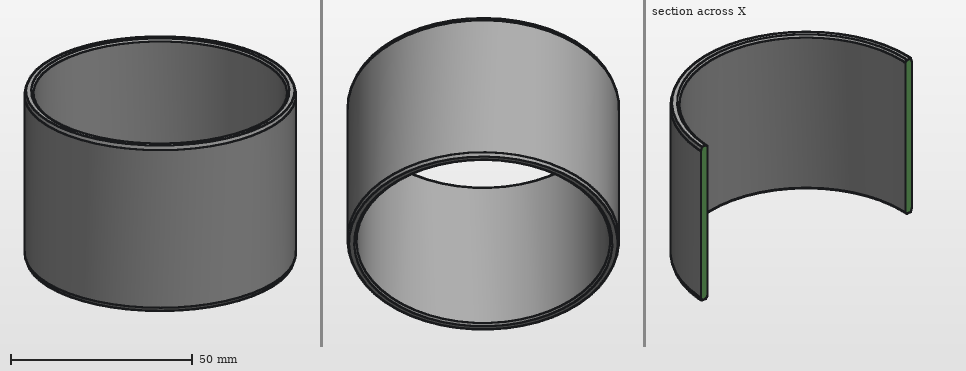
import cadquery as cq
import math

outer_diameter = 75.0
wall_thickness = 2.5
length = 50.0

outer_chamfer_length = 1.2
outer_chamfer_angle = 20.0
outer_chamfer_depth = outer_chamfer_length * math.tan(math.radians(outer_chamfer_angle))

inner_chamfer = 0.64

outer_radius = outer_diameter / 2
inner_radius = outer_radius - wall_thickness


def wall_section():
    """Wall profile in the XZ plane, with both ends chamfered inside and out."""
    end_face_inner = inner_radius + inner_chamfer
    end_face_outer = outer_radius - outer_chamfer_depth
    return (
        cq.Workplane("XZ")
        .moveTo(end_face_inner, 0)
        .lineTo(end_face_outer, 0)
        .lineTo(outer_radius, outer_chamfer_length)
        .lineTo(outer_radius, length - outer_chamfer_length)
        .lineTo(end_face_outer, length)
        .lineTo(end_face_inner, length)
        .lineTo(inner_radius, length - inner_chamfer)
        .lineTo(inner_radius, inner_chamfer)
        .close()
    )


result = wall_section().revolve(360, (0, 0, 0), (0, 1, 0))